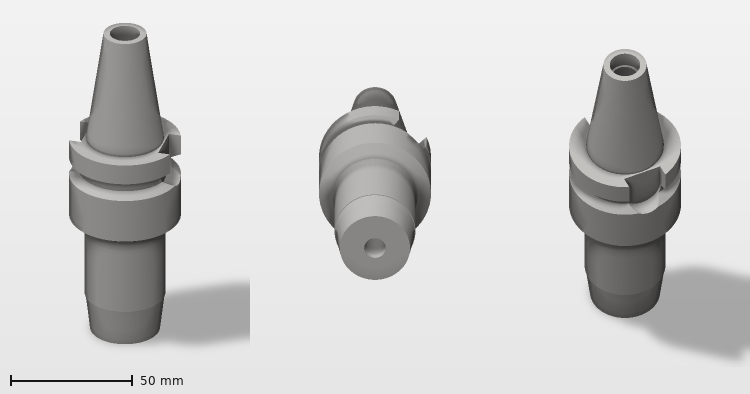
import cadquery as cq

total_height = 138.4
flange_top = total_height - 49.3
flange_bottom = flange_top - 8.9
groove_top = flange_top - 10.8
groove_bottom = flange_top - 14.3
collar_top = flange_top - 16.7
collar_bottom = flange_top - 35.8
flare_top = flange_top - 39.2
flare_bottom = flange_top - 43.7
nose_taper_height = 16.5

flange_radius = 23.0
groove_radius = 19.1
flare_radius = 17.5
sleeve_radius = 16.6
nose_radius = 14.4
nose_taper_radius = 16.3

gauge_radius = 15.9
neck_height = 0.8
gauge_height = flange_top + neck_height
taper_slope = 7 / 48
shank_end_radius = gauge_radius - taper_slope * (total_height - gauge_height)

through_radius = 4.4
thread_radius = 5.3
thread_depth = 24.9
pilot_radius = 6.2
pilot_depth = 6.9

slot_width = 16.3
slot_floor_x = 16.5
slot_depth = 18.0


def turned_body():
    nose_outline = [
        (0, 0),
        (nose_radius, 0),
        (nose_taper_radius, nose_taper_height),
        (sleeve_radius, nose_taper_height),
        (sleeve_radius, flare_bottom),
    ]
    upper_outline = [
        (flange_radius, collar_bottom),
        (flange_radius, collar_top),
        (groove_radius, groove_bottom),
        (groove_radius, groove_top),
        (flange_radius, flange_bottom),
        (flange_radius, flange_top),
        (gauge_radius, flange_top),
        (gauge_radius, gauge_height),
        (shank_end_radius, total_height),
        (0, total_height),
    ]
    profile = cq.Workplane("XZ").polyline(nose_outline)
    profile = profile.tangentArcPoint((flare_radius, flare_top), relative=False)
    for point in upper_outline:
        profile = profile.lineTo(*point)
    return profile.close().revolve(360, (0, 0), (0, 1))


def bore_from_top(radius, depth):
    return cq.Workplane("XY", origin=(0, 0, total_height - depth)).circle(radius).extrude(depth)


def drive_slot(side):
    """Round-bottomed slot, open at the flange top; side is +1 or -1 along X."""
    half_width = slot_width / 2
    slot_bottom = flange_top - slot_depth
    arc_center = slot_bottom + half_width
    return (
        cq.Workplane("YZ", origin=(side * slot_floor_x, 0, 0))
        .moveTo(-half_width, flange_top)
        .lineTo(-half_width, arc_center)
        .threePointArc((0, slot_bottom), (half_width, arc_center))
        .lineTo(half_width, flange_top)
        .close()
        .extrude(side * flange_radius)
    )


result = turned_body()
for side in (-1, 1):
    result = result.cut(drive_slot(side))

bore_steps = (
    (through_radius, total_height),
    (thread_radius, thread_depth),
    (pilot_radius, pilot_depth),
)
for radius, depth in bore_steps:
    result = result.cut(bore_from_top(radius, depth))